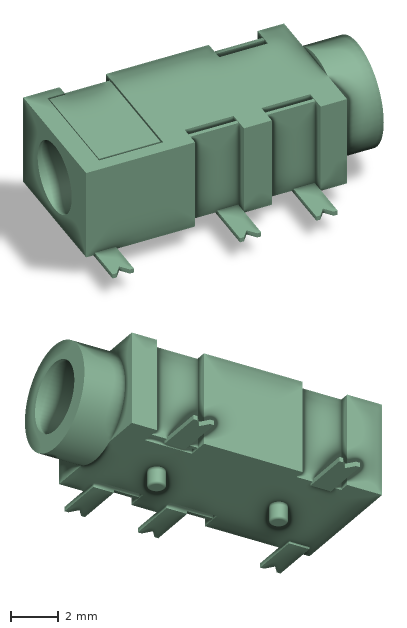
import cadquery as cq

TOTAL_LENGTH = 14.3
COLLAR_LENGTH = 2.0
BODY_LENGTH = TOTAL_LENGTH - COLLAR_LENGTH
BODY_WIDTH = 6.1
BODY_HEIGHT = 4.4
HALF_WIDTH = BODY_WIDTH / 2
AXIS_HEIGHT = BODY_HEIGHT / 2

COLLAR_DIAMETER = 5.0
BORE_DIAMETER = 3.3

WINDOW_LENGTH = 2.3
WINDOW_DEPTH = 1.0
LEFT_WINDOW_STARTS = [8.75]
RIGHT_WINDOW_STARTS = [5.13, 8.75]
PLATE_OUTER_X = 2.56
PLATE_THICKNESS = 0.19
PLATE_END_GAP = 0.036

RECESS_START = 1.72
RECESS_END = 3.9

GROOVE_DEPTH = 0.1
GROOVE_RIGHT = 2.46
GROOVE_FRONT = 0.9
GROOVE_BACK = 3.92
GROOVE_SIDE_WIDTH = 0.1
GROOVE_BACK_WIDTH = 0.09
GROOVE_FRONT_WIDTH = 0.05

LEG_SPAN = 9.6
LEG_TIP_X = LEG_SPAN / 2
LEG_ROOT_X = PLATE_OUTER_X - PLATE_THICKNESS
LEG_WIDTH = 1.0
LEG_THICKNESS = 0.21
LEG_DROP = 0.1
NOTCH_WIDTH = 0.63
NOTCH_DEPTH = 0.4
LEFT_LEG_CENTERS = [2.62, 9.78]
RIGHT_LEG_CENTERS = [0.9, 6.9, 10.51]

PIN_DIAMETER = 0.8
PIN_LENGTH = 0.8
PIN_ROUNDING = 0.1
PIN_CENTERS = [3.3, 9.3]

LEFT, RIGHT = -1, 1


def block(x_range, y_range, z_range):
    """Box between two limits on each axis, given in either order."""
    limits = [sorted(r) for r in (x_range, y_range, z_range)]
    lows = [low for low, high in limits]
    sizes = [high - low for low, high in limits]
    return cq.Workplane("XY").box(*sizes, centered=False).translate(tuple(lows))


def cylinder_along_y(diameter, start, end):
    """Cylinder on the bore axis between two Y positions."""
    plane = cq.Workplane("XZ", origin=(0, start, AXIS_HEIGHT))
    return plane.circle(diameter / 2).extrude(start - end)


def window(side, start):
    return block(
        (side * (HALF_WIDTH - WINDOW_DEPTH), side * HALF_WIDTH),
        (start, start + WINDOW_LENGTH),
        (0, BODY_HEIGHT),
    )


def contact_plate(side, start):
    return block(
        (side * (PLATE_OUTER_X - PLATE_THICKNESS), side * PLATE_OUTER_X),
        (start, start + WINDOW_LENGTH),
        (PLATE_END_GAP, BODY_HEIGHT - PLATE_END_GAP),
    )


def side_recess():
    return block((-HALF_WIDTH, -PLATE_OUTER_X), (RECESS_START, RECESS_END), (0, BODY_HEIGHT))


def cover_groove():
    """Groove on three sides of the cover, and on the fourth only in front of the recess."""
    left, right = -PLATE_OUTER_X, GROOVE_RIGHT
    front, back = GROOVE_FRONT, GROOVE_BACK
    depth = (BODY_HEIGHT - GROOVE_DEPTH, BODY_HEIGHT)
    groove = block((left, right), (back - GROOVE_BACK_WIDTH, back), depth)
    groove = groove.union(block((right - GROOVE_SIDE_WIDTH, right), (front, back), depth))
    groove = groove.union(block((left, right), (front, front + GROOVE_FRONT_WIDTH), depth))
    return groove.union(block((left, left + GROOVE_SIDE_WIDTH), (front, RECESS_START), depth))


def leg(side, center):
    half = LEG_WIDTH / 2
    half_notch = NOTCH_WIDTH / 2
    root, tip = side * LEG_ROOT_X, side * LEG_TIP_X
    outline = [
        (root, center - half),
        (tip, center - half),
        (tip, center - half_notch),
        (tip - side * NOTCH_DEPTH, center),
        (tip, center + half_notch),
        (tip, center + half),
        (root, center + half),
    ]
    return cq.Workplane("XY", origin=(0, 0, -LEG_DROP)).polyline(outline).close().extrude(LEG_THICKNESS)


def pin(center):
    shaft = cq.Workplane("XY", origin=(0, center, 0)).circle(PIN_DIAMETER / 2).extrude(-PIN_LENGTH)
    return shaft.faces("<Z").fillet(PIN_ROUNDING)


windows = [(LEFT, start) for start in LEFT_WINDOW_STARTS] + [(RIGHT, start) for start in RIGHT_WINDOW_STARTS]
legs = [(LEFT, center) for center in LEFT_LEG_CENTERS] + [(RIGHT, center) for center in RIGHT_LEG_CENTERS]

result = block((-HALF_WIDTH, HALF_WIDTH), (0, BODY_LENGTH), (0, BODY_HEIGHT))
result = result.cut(side_recess()).cut(cover_groove())
for side, start in windows:
    result = result.cut(window(side, start)).union(contact_plate(side, start))
result = result.union(cylinder_along_y(COLLAR_DIAMETER, BODY_LENGTH, TOTAL_LENGTH))
result = result.cut(cylinder_along_y(BORE_DIAMETER, 0, TOTAL_LENGTH))
for side, center in legs:
    result = result.union(leg(side, center))
for center in PIN_CENTERS:
    result = result.union(pin(center))